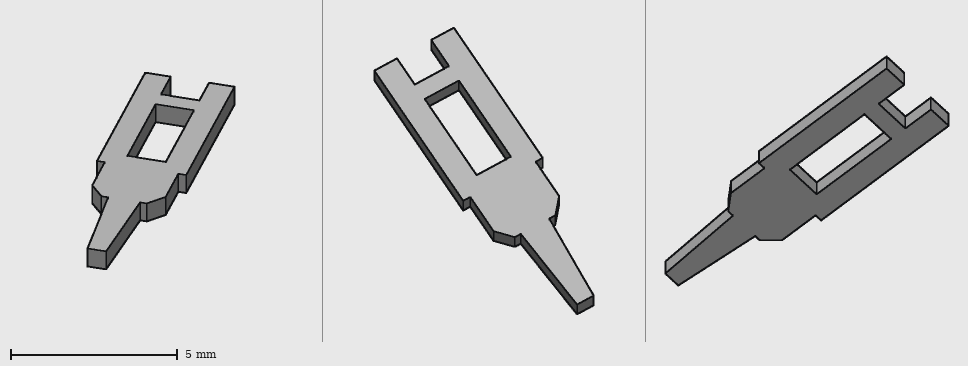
import cadquery as cq

length = 9.91
width = 2.79
thickness = 0.64

slot_width = 1.2
notch_depth = 1.03
bar_length = 0.57
window_length = 3.0
fork_length = 5.14

body_width = 2.3
body_straight_length = 1.35
body_taper_length = 0.51
body_end_width = 1.42

tip_root_width = 1.0
tip_end_width = 0.58

fork_end = length / 2
shoulder = fork_end - fork_length
taper_start = shoulder - body_straight_length
tip_root = taper_start - body_taper_length
tip_end = -length / 2


def make_blade():
    """Flat symmetric plate without its openings."""
    right_side = [
        (width / 2, fork_end),
        (width / 2, shoulder),
        (body_width / 2, shoulder),
        (body_width / 2, taper_start),
        (body_end_width / 2, tip_root),
        (tip_root_width / 2, tip_root),
        (tip_end_width / 2, tip_end),
    ]
    left_side = [(-x, y) for x, y in reversed(right_side)]
    outline = cq.Workplane("XY").polyline(right_side + left_side).close()
    return outline.extrude(thickness / 2, both=True)


def make_opening(top, opening_length):
    """Rectangular through cut running down from the given Y station."""
    block = cq.Workplane("XY").box(slot_width, opening_length, thickness)
    return block.translate((0, top - opening_length / 2, 0))


window_top = fork_end - notch_depth - bar_length
notch = make_opening(fork_end, notch_depth)
window = make_opening(window_top, window_length)

result = make_blade().cut(notch).cut(window)